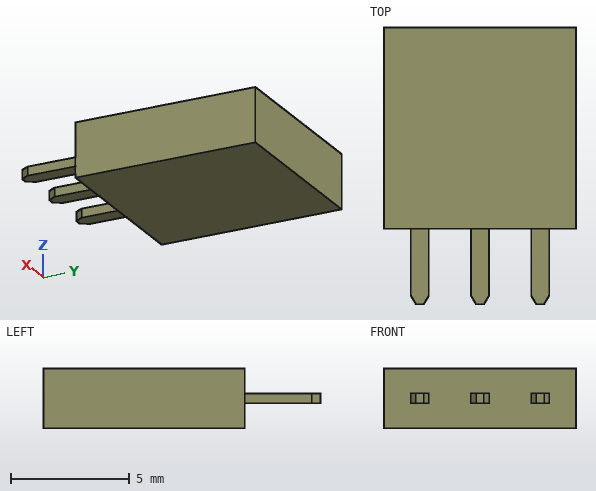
import cadquery as cq

body_width = 8.13
body_height = 2.54
total_length = 11.71
pin_length = 3.2
body_length = total_length - pin_length

pin_count = 3
pin_pitch = 2.54
pin_width = 0.77
pin_thickness = 0.42
tip_width = 0.33
tip_length = 0.37


def make_housing():
    """Plain block with its pin face on the plane Y = 0."""
    return cq.Workplane("XY").box(body_width, body_length, body_height, centered=(True, False, True))


def make_pin(x_center):
    """Flat pin running from the pin face toward -Y, narrowing to a blunt tip."""
    half_width = pin_width / 2
    half_tip = tip_width / 2
    taper_start = tip_length - pin_length
    outline = [
        (-half_width, 0),
        (-half_width, taper_start),
        (-half_tip, -pin_length),
        (half_tip, -pin_length),
        (half_width, taper_start),
        (half_width, 0),
    ]
    pin = cq.Workplane("XY").polyline(outline).close().extrude(pin_thickness / 2, both=True)
    return pin.translate((x_center, 0, 0))


result = make_housing()
for index in range(pin_count):
    pin_x = (index - (pin_count - 1) / 2) * pin_pitch
    result = result.union(make_pin(pin_x))